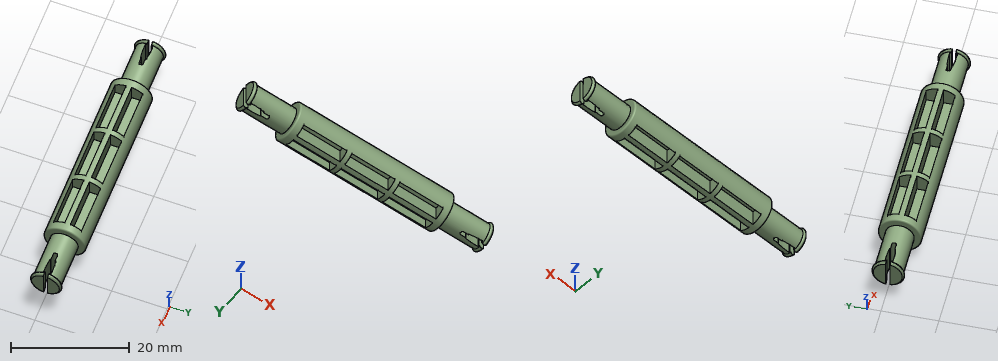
import cadquery as cq
import math

total_length = 50.0
shank_diameter = 5.0

barrel_diameter = 7.5
barrel_length = 32.0
barrel_edge_radius = 0.3

lip_diameter = 5.6
lip_width = 0.75
lip_crest = 0.4
lip_bevel_length = 0.15
lip_bevel_height = 0.15

wall_thickness = 1.0
window_length = 9.0
window_width = 2.0
windows_per_row = 3
window_pitch = window_length + wall_thickness
window_offset = (window_width + wall_thickness) / 2
web_half_thickness = wall_thickness / 2

slot_width = 0.75
slot_length = 5.0
slot_corner_radius = 0.25
relief_start = 0.95
relief_widest = 1.6
relief_end = 3.65
relief_width = 1.35
relief_wall_radius = 12.5


def rod(diameter, start, length):
    """Cylinder along X beginning at the given X position."""
    return cq.Workplane("YZ").workplane(offset=start).circle(diameter / 2).extrude(length)


def barrel():
    body = rod(barrel_diameter, -barrel_length / 2, barrel_length)
    return body.edges("%CIRCLE").fillet(barrel_edge_radius)


def left_lip():
    """Bead at the left tip, bevelled at the end face and arched down to the shank."""
    tip = -total_length / 2
    shank_radius = shank_diameter / 2
    profile = (
        cq.Workplane("XY")
        .moveTo(tip, 0)
        .lineTo(tip, shank_radius)
        .lineTo(tip + lip_bevel_length, shank_radius + lip_bevel_height)
        .threePointArc((tip + lip_crest, lip_diameter / 2), (tip + lip_width, shank_radius))
        .lineTo(tip + lip_width, 0)
        .close()
    )
    return profile.revolve(360, (0, 0, 0), (1, 0, 0))


def windows():
    """Pockets above and below the web, in two rows on each side."""
    depth = barrel_diameter / 2
    pockets = (
        cq.Workplane("XY")
        .workplane(offset=web_half_thickness)
        .rarray(window_pitch, 2 * window_offset, windows_per_row, 2)
        .rect(window_length, window_width)
        .extrude(depth)
    )
    return pockets.union(pockets.mirror("XY"))


def relief_half_width(distance):
    """Half width of the relief at a distance from the tip; each wall is a circular arc."""
    offset = distance - relief_widest
    sag = relief_wall_radius - math.sqrt(relief_wall_radius**2 - offset**2)
    return relief_width / 2 - sag


def left_slot():
    """Slot through the full height of the left tip."""
    cut_height = barrel_diameter
    channel = (
        cq.Workplane("XY")
        .box(slot_length, slot_width, cut_height, centered=(False, True, True))
        .edges("|Z and >X")
        .fillet(slot_corner_radius)
    )
    start_half = relief_half_width(relief_start)
    end_half = relief_half_width(relief_end)
    relief = (
        cq.Workplane("XY")
        .moveTo(relief_start, -start_half)
        .threePointArc((relief_widest, -relief_width / 2), (relief_end, -end_half))
        .lineTo(relief_end, end_half)
        .threePointArc((relief_widest, relief_width / 2), (relief_start, start_half))
        .close()
        .extrude(cut_height / 2, both=True)
    )
    return channel.union(relief).translate((-total_length / 2, 0, 0))


def both_ends(left_feature):
    return left_feature.union(left_feature.mirror("YZ"))


shank = rod(shank_diameter, -total_length / 2, total_length)
result = shank.union(barrel()).union(both_ends(left_lip()))
result = result.cut(windows()).cut(both_ends(left_slot()))